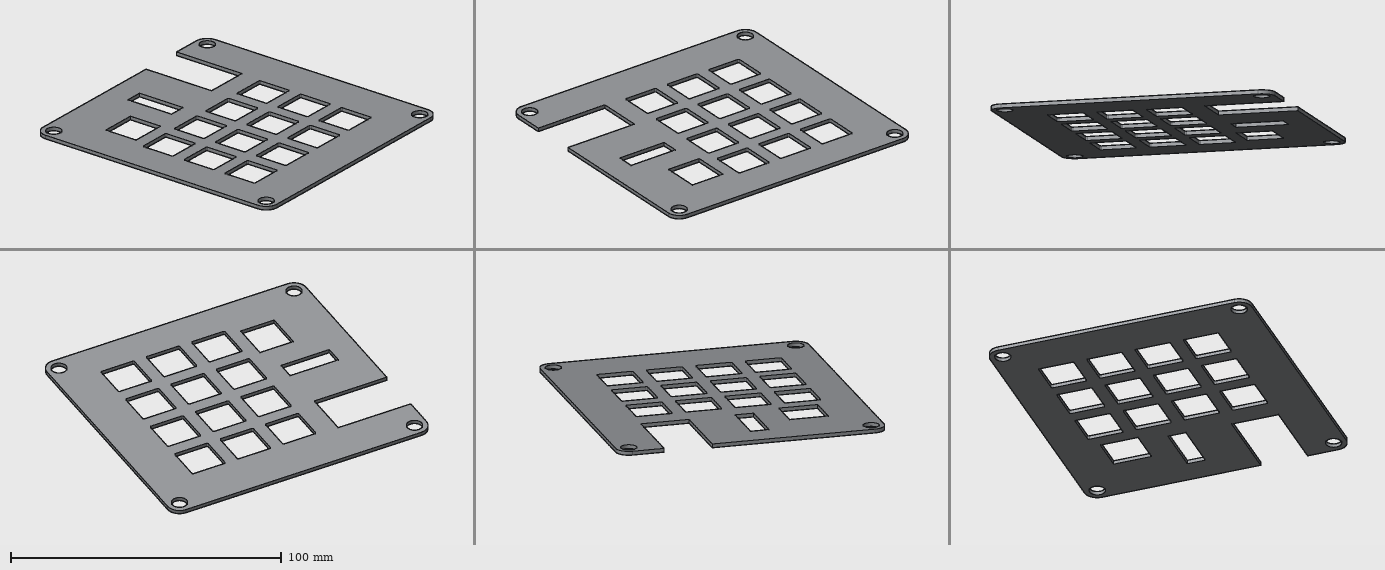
import cadquery as cq

plate_length = 109.0
plate_width = 103.5
plate_thickness = 1.5
corner_radius = 5.0

mount_hole_diameter = 6.0

key_columns = 3
key_rows = 4
key_pitch = 19.1
key_opening = 14.0
key_corner_radius = 0.5
key_grid_center = (10.9, -1.9)

notch_depth = 30.5
notch_height = 18.5
notch_center_y = 25.3

slot_length = 20.3
slot_height = 7.1
slot_center = (-33.7, -5.5)
window_length = 14.1
window_height = 14.9
window_center = (-27.5, -27.1)


def rectangular_block(length, height, center):
    """Block of the full plate thickness, centred in plan on the given point."""
    return (
        cq.Workplane("XY")
        .center(*center)
        .rect(length, height)
        .extrude(plate_thickness)
    )


def make_plate():
    return (
        rectangular_block(plate_length, plate_width, (0, 0))
        .edges("|Z")
        .fillet(corner_radius)
    )


def mount_hole_cutters():
    spacing_x = plate_length - 2 * corner_radius
    spacing_y = plate_width - 2 * corner_radius
    return (
        cq.Workplane("XY")
        .rarray(spacing_x, spacing_y, 2, 2)
        .circle(mount_hole_diameter / 2)
        .extrude(plate_thickness)
    )


def key_cutters():
    return (
        cq.Workplane("XY")
        .center(*key_grid_center)
        .rarray(key_pitch, key_pitch, key_columns, key_rows)
        .rect(key_opening, key_opening)
        .extrude(plate_thickness)
        .edges("|Z")
        .fillet(key_corner_radius)
    )


def notch_cutter():
    center_x = (notch_depth - plate_length) / 2
    return rectangular_block(notch_depth, notch_height, (center_x, notch_center_y))


result = (
    make_plate()
    .cut(mount_hole_cutters())
    .cut(key_cutters())
    .cut(notch_cutter())
    .cut(rectangular_block(slot_length, slot_height, slot_center))
    .cut(rectangular_block(window_length, window_height, window_center))
)